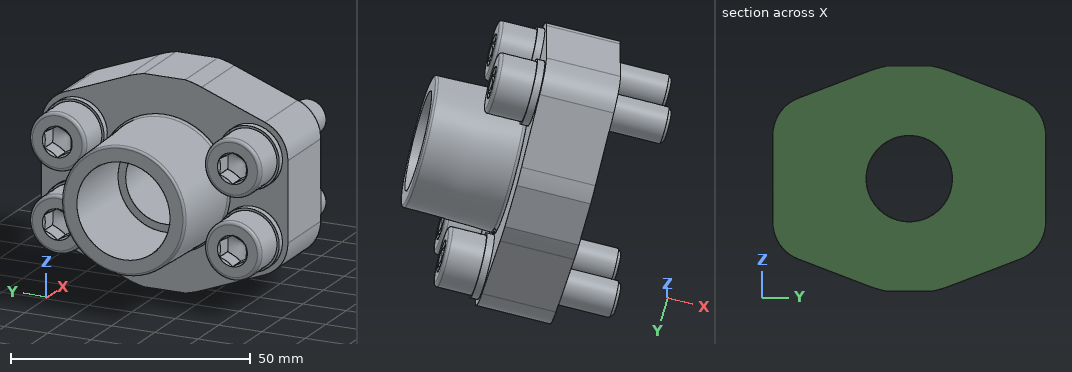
import cadquery as cq
import math


plate_width = 57.0
plate_height = 47.0
plate_front = 20.0
plate_thickness = 16.0
plate_round_radius = 24.0

bolt_spacing_y = 40.45
bolt_spacing_z = 18.2

neck_end_radius = 14.25
neck_base_radius = 14.8
neck_edge_radius = 0.5
neck_foot_height = 0.6
neck_foot_width = 0.4
socket_diameter = 21.5
bore_diameter = 17.95

washer_diameter = 14.0
washer_thickness = 1.6
head_diameter = 13.0
head_height = 8.0
head_edge_radius = 0.75
shank_diameter = 8.0
shank_chamfer = 0.75
bolt_tip = 48.4
hex_across_flats = 6.0
hex_depth = 4.0
hex_tip_angle = 120.0

plate_back = plate_front + plate_thickness
bolt_y = bolt_spacing_y / 2
bolt_z = bolt_spacing_z / 2
corner_radius = plate_width / 2 - bolt_y
head_bottom = plate_front - washer_thickness
head_top = head_bottom - head_height


def polar(radius, angle, center=(0.0, 0.0)):
    """Point at a radius and angle around a center."""
    return (center[0] + radius * math.cos(angle), center[1] + radius * math.sin(angle))


def cylinder(diameter, start, end):
    """Cylinder along the X axis between two stations."""
    return cq.Workplane("YZ", origin=(start, 0, 0)).circle(diameter / 2).extrude(end - start)


def revolve_about_x(profile):
    """Full turn about the X axis of a closed profile drawn in the XY plane."""
    return profile.revolve(360, (0, 0, 0), (1, 0, 0))


def make_plate():
    """Plate cut flat at top and bottom, with slopes tangent to a central circle and the corners."""
    corner_center = (bolt_y, bolt_z)
    center_distance = math.hypot(bolt_y, bolt_z)
    center_angle = math.atan2(bolt_z, bolt_y)
    slope_normal = center_angle + math.acos((plate_round_radius - corner_radius) / center_distance)
    flat_angle = math.asin(plate_height / 2 / plate_round_radius)

    quarter = (
        cq.Workplane("YZ", origin=(plate_front, 0, 0))
        .lineTo(plate_width / 2, 0)
        .lineTo(plate_width / 2, bolt_z)
        .threePointArc(
            polar(corner_radius, slope_normal / 2, corner_center),
            polar(corner_radius, slope_normal, corner_center),
        )
        .lineTo(*polar(plate_round_radius, slope_normal))
        .threePointArc(
            polar(plate_round_radius, (slope_normal + flat_angle) / 2),
            polar(plate_round_radius, flat_angle),
        )
        .lineTo(0, plate_height / 2)
        .close()
        .extrude(plate_thickness)
    )
    half = quarter.union(quarter.mirror("XZ"))
    return half.union(half.mirror("XY")).clean()


def make_neck():
    """Slightly conical neck with a rounded rim and a flared foot against the plate."""
    foot_start = plate_front - neck_foot_height
    arc_inset = 1 - math.sqrt(0.5)
    rim_offset = neck_edge_radius * arc_inset
    foot_middle = (
        plate_front - neck_foot_height * arc_inset,
        neck_base_radius + neck_foot_width * arc_inset,
    )
    profile = (
        cq.Workplane("XY")
        .lineTo(0, neck_end_radius - neck_edge_radius)
        .threePointArc(
            (rim_offset, neck_end_radius - rim_offset),
            (neck_edge_radius, neck_end_radius),
        )
        .lineTo(foot_start, neck_base_radius)
        .threePointArc(foot_middle, (plate_front, neck_base_radius + neck_foot_width))
        .lineTo(plate_front, 0)
        .close()
    )
    return revolve_about_x(profile)


def make_hex_socket():
    """Hexagonal drive recess with a countersunk mouth and a conical floor."""
    corner_reach = hex_across_flats / 2 / math.cos(math.pi / 6)
    mouth = revolve_about_x(
        cq.Workplane("XY", origin=(head_top, 0, 0))
        .lineTo(0, corner_reach)
        .lineTo(corner_reach, 0)
        .close()
    )
    floor_start = head_top + hex_depth
    floor_depth = corner_reach / math.tan(math.radians(hex_tip_angle / 2))
    pointed_pin = revolve_about_x(
        cq.Workplane("XY")
        .moveTo(head_top, 0)
        .lineTo(head_top, corner_reach)
        .lineTo(floor_start, corner_reach)
        .lineTo(floor_start + floor_depth, 0)
        .close()
    )
    hexagon = (
        cq.Workplane("YZ", origin=(head_top, 0, 0))
        .transformed(rotate=(0, 0, 90))
        .polygon(6, 2 * corner_reach)
        .extrude(hex_depth + floor_depth)
    )
    return hexagon.intersect(pointed_pin).union(mouth)


def make_bolt():
    """Socket head bolt with its washer, on the X axis."""
    head = cylinder(head_diameter, head_top, head_bottom).faces("<X").edges().fillet(head_edge_radius)
    washer = cylinder(washer_diameter, head_bottom, plate_front)
    shank = cylinder(shank_diameter, plate_front, bolt_tip).faces(">X").edges().chamfer(shank_chamfer)
    return head.cut(make_hex_socket()).union(washer).union(shank)


result = make_plate().union(make_neck())
result = result.cut(cylinder(bore_diameter, 0, plate_back))
result = result.cut(cylinder(socket_diameter, 0, plate_front))

bolt = make_bolt()
for side_y in (-1, 1):
    for side_z in (-1, 1):
        result = result.union(bolt.translate((0, side_y * bolt_y, side_z * bolt_z)))